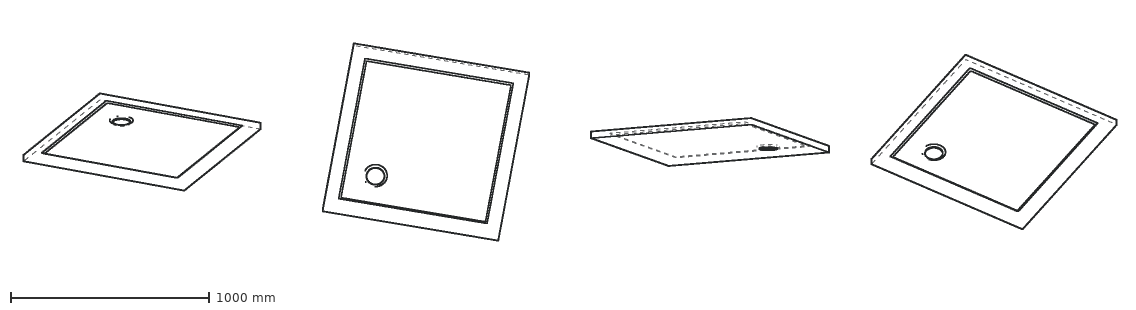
import cadquery as cq
import math

ORIGIN = cq.Vector(0, 0, 0)
Z_AXIS = cq.Vector(0, 0, 1)
QUARTER_TURN = 90

SIDE = 900.0
HEIGHT = 35.0
EDGE_RADIUS = 3.0
CORNER_RADIUS = 3.0

RIM_WIDTH = 70.0
RIM_DROP = 3.0
BEVEL_WIDTH = 10.0
BEVEL_DROP = 7.0
RIM_OUTER_SIDE = SIDE - 2 * EDGE_RADIUS
RIM_INNER_SIDE = SIDE - 2 * RIM_WIDTH
RIM_INNER_Z = HEIGHT - RIM_DROP
FLOOR_SIDE = RIM_INNER_SIDE - 2 * BEVEL_WIDTH
FLOOR_EDGE_Z = RIM_INNER_Z - BEVEL_DROP

DRAIN_OFFSET = 220.0
DRAIN_X = -DRAIN_OFFSET
DRAIN_Y = DRAIN_OFFSET
DRAIN_DIAMETER = 90.0
RING_DIAMETER = 118.0
FLOOR_DROP = 12.0
RING_DROP = 6.0
RING_TOP_Z = FLOOR_EDGE_Z - FLOOR_DROP
RING_BOTTOM_Z = RING_TOP_Z - RING_DROP

CREASE_SWEEP = 1.0
PATCH_SPLIT = 1 / 6


def rounded_square(side):
    """Centred square sketch with rounded corners."""
    return cq.Sketch().rect(side, side).vertices().fillet(CORNER_RADIUS)


def square_funnel(top_side, top_z, bottom_side, bottom_z):
    """Square funnel narrowing from top_z down to bottom_z."""
    bottom = rounded_square(bottom_side)
    top = rounded_square(top_side).moved(cq.Location(cq.Vector(0, 0, top_z - bottom_z)))
    return cq.Workplane("XY", origin=(0, 0, bottom_z)).placeSketch(bottom, top).loft(ruled=True)


def arc_edge(center, radius, start_angle, end_angle):
    """Horizontal arc around center, counterclockwise between two angles in degrees."""
    points = []
    for angle in (start_angle, (start_angle + end_angle) / 2, end_angle):
        turn = math.radians(angle)
        points.append(center + cq.Vector(radius * math.cos(turn), radius * math.sin(turn), 0))
    return cq.Edge.makeThreePointArc(*points)


def floor_cut():
    """Four-sided funnel whose ruled sides join the rounded square floor edge to the drain ring."""
    half = FLOOR_SIDE / 2
    straight = half - CORNER_RADIUS
    ring_center = cq.Vector(DRAIN_X, DRAIN_Y, RING_TOP_Z)
    patch_sweep = QUARTER_TURN - CREASE_SWEEP
    sides = [
        (0, [0, PATCH_SPLIT, 1]),
        (QUARTER_TURN, [0, 1]),
        (2 * QUARTER_TURN, [0, 1 - PATCH_SPLIT, 1]),
        (3 * QUARTER_TURN, [0, 1]),
    ]
    outer_edges = []
    ring_edges = []
    for facing, fractions in sides:
        patch_start = facing - patch_sweep / 2
        for first, last in zip(fractions, fractions[1:]):
            start = cq.Vector(half, straight * (2 * first - 1), FLOOR_EDGE_Z)
            end = cq.Vector(half, straight * (2 * last - 1), FLOOR_EDGE_Z)
            line = cq.Edge.makeLine(start, end)
            outer_edges.append(line.rotate(ORIGIN, Z_AXIS, facing))
            ring_edges.append(
                arc_edge(
                    ring_center,
                    RING_DIAMETER / 2,
                    patch_start + first * patch_sweep,
                    patch_start + last * patch_sweep,
                )
            )
        corner_center = cq.Vector(straight, straight, FLOOR_EDGE_Z)
        corner = arc_edge(corner_center, CORNER_RADIUS, 0, QUARTER_TURN)
        outer_edges.append(corner.rotate(ORIGIN, Z_AXIS, facing))
        patch_end = patch_start + patch_sweep
        ring_edges.append(arc_edge(ring_center, RING_DIAMETER / 2, patch_end, patch_end + CREASE_SWEEP))
    ring = cq.Wire.assembleEdges(ring_edges)
    outline = cq.Wire.assembleEdges(outer_edges)
    return cq.Workplane(obj=cq.Solid.makeLoft([ring, outline], True))


def drain_cut():
    """Conical seat around the drain with a through hole."""
    hole = cq.Workplane("XY").center(DRAIN_X, DRAIN_Y).circle(DRAIN_DIAMETER / 2).extrude(RING_TOP_Z)
    seat = cq.Solid.makeCone(
        DRAIN_DIAMETER / 2,
        RING_DIAMETER / 2,
        RING_DROP,
        cq.Vector(DRAIN_X, DRAIN_Y, RING_BOTTOM_Z),
    )
    return hole.union(cq.Workplane(obj=seat))


def tray_blank():
    """Slab with its upright edges and top outer edges rounded."""
    slab = cq.Workplane("XY").box(SIDE, SIDE, HEIGHT, centered=(True, True, False))
    return slab.edges("|Z or >Z").fillet(EDGE_RADIUS)


result = (
    tray_blank()
    .cut(square_funnel(RIM_OUTER_SIDE, HEIGHT, RIM_INNER_SIDE, RIM_INNER_Z))
    .cut(square_funnel(RIM_INNER_SIDE, RIM_INNER_Z, FLOOR_SIDE, FLOOR_EDGE_Z))
    .cut(floor_cut())
    .cut(drain_cut())
)